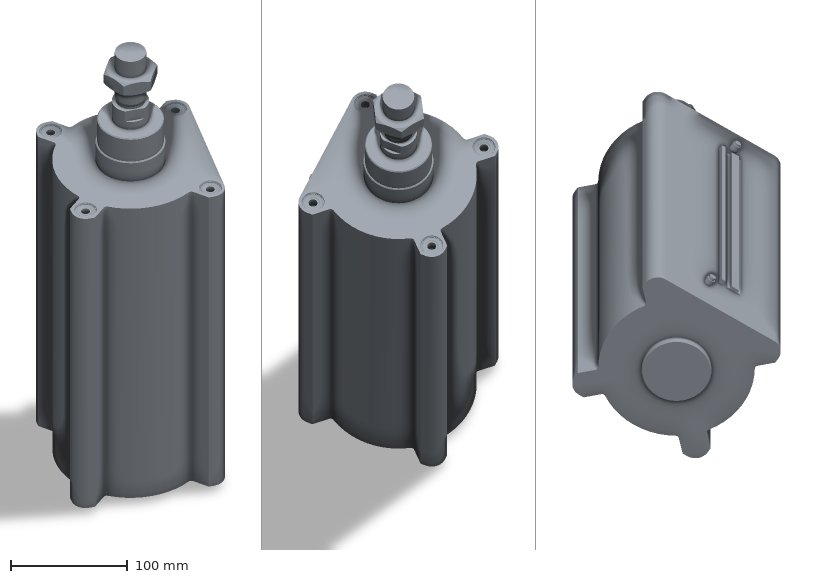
import cadquery as cq
import math


corner_pitch = 111.2
corner_radius = 12.5
barrel_radius = 67.0
lobe_flat_end = 50.7
lobe_inner_end = 36.0
flank_fillet = 1.5
root_fillet = 3.0
spigot_height = 6.2
housing_length = 320.0

collar_diameter = 60.0
collar_height = 21.0
cap_diameter = 57.5
cap_height = 25.0
end_chamfer = 1.0

recess_mouth_diameter = 19.5
recess_diameter = 18.5
screw_head_diameter = 18.0
recess_depth = 1.0
screw_head_depth = 1.5
socket_mouth_diameter = 12.5
socket_diameter = 10.2
socket_depth = 0.5
pilot_diameter = 7.5
pilot_depth = 11.0

rail_length = 231.0
rail_bottom = 50.7
rail_width = 4.0
rail_height = 5.5
rail_offset = -0.5
strip_offset = -13.5
strip_base_width = 13.5
strip_base_height = 1.5
strip_top_width = 7.5
strip_top_height = 4.0
fitting_offset = 13.0
fitting_diameter = 7.5
fitting_tip_diameter = 6.0
fitting_reach = 9.0
upper_fitting_z = 293.5
lower_fitting_z = 39.0
upper_shoulder = 7.0
lower_ring_start = 2.2
lower_ring_end = 6.2

rod_diameter = 32.0
thread_diameter = 27.0
undercut_diameter = 24.5
overall_height = 445.0
rod_shoulder_z = 391.5
thread_end_z = 397.5
undercut_taper_end_z = 394.0
flat_width = 27.0
flat_height = 11.0

nut_across_flats = 41.5
nut_height = 13.5
nut_bottom_z = 414.0
nut_chamfer_angle = 30

corner_offset = corner_pitch / 2
half_width = corner_offset + corner_radius
housing_top = spigot_height + housing_length
collar_top = housing_top + collar_height
cap_top = collar_top + cap_height


def cylinder(diameter, bottom, top):
    return cq.Workplane("XY").workplane(offset=bottom).circle(diameter / 2).extrude(top - bottom)


def pin_on_back(diameter, x, z, start, end):
    """Cylinder along +Y between two distances from the flat +Y face."""
    plane = cq.Plane(origin=(x, half_width + start, z), xDir=(1, 0, 0), normal=(0, 1, 0))
    return cq.Workplane(plane).circle(diameter / 2).extrude(end - start)


def bar_on_back(x, width, height):
    """Straight bar along Z, standing on the flat +Y face."""
    return (
        cq.Workplane("XY")
        .workplane(offset=rail_bottom)
        .center(x, half_width + height / 2)
        .rect(width, height)
        .extrude(rail_length)
    )


def corner_points():
    return [(sx * corner_offset, sy * corner_offset) for sx in (-1, 1) for sy in (-1, 1)]


def make_lobe():
    """Bottom-left screw lobe: rounded corner joined to the barrel by 45-degree flanks."""
    lobe_middle_z = spigot_height + housing_length / 2
    step = lobe_flat_end - lobe_inner_end
    flank_corners = (
        cq.selectors.NearestToPointSelector((-half_width, -lobe_flat_end, lobe_middle_z))
        + cq.selectors.NearestToPointSelector((-lobe_flat_end, -half_width, lobe_middle_z))
    )
    arc_middle = corner_offset + corner_radius * math.sqrt(0.5)
    return (
        cq.Workplane("XY")
        .workplane(offset=spigot_height)
        .moveTo(-corner_offset, -half_width)
        .threePointArc((-arc_middle, -arc_middle), (-half_width, -corner_offset))
        .lineTo(-half_width, -lobe_flat_end)
        .lineTo(-half_width + step, -lobe_inner_end)
        .lineTo(0, 0)
        .lineTo(-lobe_inner_end, -half_width + step)
        .lineTo(-lobe_flat_end, -half_width)
        .close()
        .extrude(housing_length)
        .edges(flank_corners)
        .fillet(flank_fillet)
    )


def fillet_roots(profile):
    """Round the inner corners where the lobe flanks run into the barrel."""

    def is_root(edge):
        centre = edge.Center()
        on_barrel = math.hypot(centre.x, centre.y) < barrel_radius + root_fillet / 2
        return on_barrel and min(abs(centre.x), abs(centre.y)) > lobe_inner_end

    roots = [edge for edge in profile.edges("|Z").vals() if is_root(edge)]
    return profile.newObject(roots).fillet(root_fillet)


def make_profile():
    """Round barrel with four screw lobes, squared off to a flat face on the +Y side."""
    barrel = cylinder(2 * barrel_radius, spigot_height, housing_top)
    lobe = make_lobe()
    for quarter in range(4):
        barrel = barrel.union(lobe.rotate((0, 0, 0), (0, 0, 1), 90 * quarter))
    back_block = (
        cq.Workplane("XY")
        .workplane(offset=spigot_height)
        .center(0, (half_width + lobe_flat_end) / 2)
        .rect(2 * corner_offset, half_width - lobe_flat_end)
        .extrude(housing_length)
    )
    barrel = barrel.union(back_block)
    return fillet_roots(barrel)


def funnel(top_diameter, bottom_diameter, top, depth):
    """Cone frustum reaching down from the given height."""
    return (
        cq.Workplane("XY")
        .workplane(offset=top)
        .circle(top_diameter / 2)
        .workplane(offset=-depth)
        .circle(bottom_diameter / 2)
        .loft()
    )


def make_screw_recess():
    """Mouth chamfer, screw head seat, countersink and pilot hole, opening at the housing top."""
    head_z = housing_top - screw_head_depth
    mouth = funnel(recess_mouth_diameter, recess_diameter, housing_top, recess_depth)
    head = cylinder(screw_head_diameter, head_z, housing_top)
    socket = funnel(socket_mouth_diameter, socket_diameter, head_z, socket_depth)
    pilot = cylinder(pilot_diameter, housing_top - pilot_depth, housing_top)
    return mouth.union(head).union(socket).union(pilot)


def make_turned_ends():
    """Rear spigot, bearing collar and the narrower cap above it."""
    spigot = cylinder(collar_diameter, 0, spigot_height).faces("<Z").chamfer(end_chamfer)
    collar = cylinder(collar_diameter, housing_top, collar_top).faces(">Z").chamfer(end_chamfer)
    cap = cylinder(cap_diameter, collar_top, cap_top).faces(">Z").chamfer(end_chamfer)
    return [spigot, collar, cap]


def make_back_bars():
    """Rail, and the stepped strip beside it, along the +Y face."""
    rail = bar_on_back(rail_offset, rail_width, rail_height)
    strip_base = bar_on_back(strip_offset, strip_base_width, strip_base_height)
    strip_top = bar_on_back(strip_offset, strip_top_width, strip_top_height)
    return [rail, strip_base, strip_top]


def make_fittings():
    """Stepped upper fitting and ringed lower fitting, standing out of the +Y face."""
    fittings = []
    for x, z, wide_start, wide_end in (
        (-fitting_offset, upper_fitting_z, 0, upper_shoulder),
        (fitting_offset, lower_fitting_z, lower_ring_start, lower_ring_end),
    ):
        fittings.append(pin_on_back(fitting_diameter, x, z, wide_start, wide_end))
        fittings.append(pin_on_back(fitting_tip_diameter, x, z, 0, fitting_reach))
    return fittings


def make_housing():
    housing = make_profile()
    for feature in make_turned_ends() + make_back_bars() + make_fittings():
        housing = housing.union(feature)
    recess = make_screw_recess()
    for x, y in corner_points():
        housing = housing.cut(recess.translate((x, y, 0)))
    return housing


def make_rod():
    """Rod standing on the cap, with an undercut below the thread and two wrench flats."""
    rod = (
        cq.Workplane("XZ")
        .moveTo(0, cap_top)
        .lineTo(rod_diameter / 2, cap_top)
        .lineTo(rod_diameter / 2, rod_shoulder_z)
        .lineTo(undercut_diameter / 2, rod_shoulder_z)
        .lineTo(undercut_diameter / 2, undercut_taper_end_z)
        .lineTo(thread_diameter / 2, thread_end_z)
        .lineTo(thread_diameter / 2, overall_height)
        .lineTo(0, overall_height)
        .close()
        .revolve(360, (0, 0, 0), (0, 1, 0))
    )
    flats_z = rod_shoulder_z - flat_height
    for side in (-1, 1):
        cutter = (
            cq.Workplane("XY")
            .workplane(offset=flats_z)
            .center(side * (flat_width + rod_diameter) / 2, 0)
            .rect(rod_diameter, rod_diameter)
            .extrude(flat_height)
        )
        rod = rod.cut(cutter)
    return rod


def make_nut():
    """Hexagon with corners at +Y and -Y, chamfered at both ends and bored for the thread."""
    corner_diameter = nut_across_flats / math.cos(math.pi / 6)
    hexagon = (
        cq.Workplane("XY")
        .workplane(offset=nut_bottom_z)
        .transformed(rotate=(0, 0, 30))
        .polygon(6, corner_diameter)
        .extrude(nut_height)
    )
    outer_radius = corner_diameter / 2
    face_radius = nut_across_flats / 2
    drop = (outer_radius - face_radius) * math.tan(math.radians(nut_chamfer_angle))
    envelope = (
        cq.Workplane("XZ")
        .moveTo(0, nut_bottom_z)
        .lineTo(face_radius, nut_bottom_z)
        .lineTo(outer_radius, nut_bottom_z + drop)
        .lineTo(outer_radius, nut_bottom_z + nut_height - drop)
        .lineTo(face_radius, nut_bottom_z + nut_height)
        .lineTo(0, nut_bottom_z + nut_height)
        .close()
        .revolve(360, (0, 0, 0), (0, 1, 0))
    )
    bore = cylinder(thread_diameter, nut_bottom_z, nut_bottom_z + nut_height)
    return hexagon.intersect(envelope).cut(bore)


housing = make_housing()
piston_rod = make_rod()
lock_nut = make_nut()
result = cq.Compound.makeCompound([housing.val(), piston_rod.val(), lock_nut.val()])